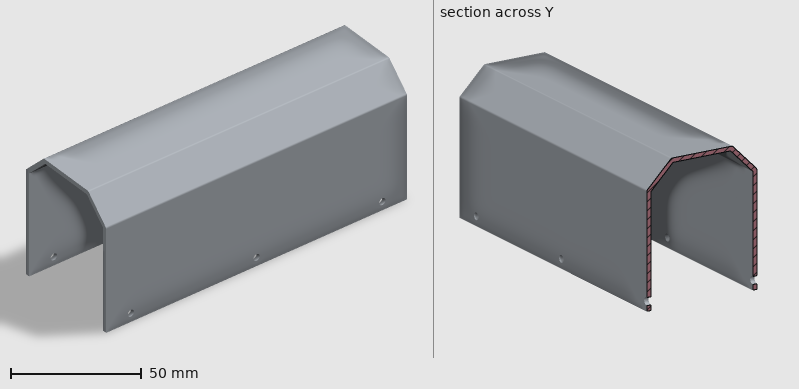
import cadquery as cq
import math

WIDTH = 50.0
LENGTH = 146.0
HEIGHT = 60.0
THICKNESS = 2.0
INNER_SETBACK = 10.0
BEND_RADIUS = 1.0

HOLE_DIAMETER = 3.1
HOLE_HEIGHT = 4.0
HOLE_END_DISTANCE = 12.0
HOLE_COUNT = 3


def bevelled_block(width, height, setback):
    """Solid bar standing on Z = 0 whose two upper long edges are bevelled."""
    bar = cq.Workplane("XY").box(width, LENGTH, height, centered=(True, True, False))
    return bar.edges("|Y and >Z").chamfer(setback)


def outer_body():
    """Outer envelope with its four bend edges rounded."""
    outer_setback = INNER_SETBACK + THICKNESS * (2 - math.sqrt(2))
    body = bevelled_block(WIDTH, HEIGHT, outer_setback)
    return body.edges("|Y").edges("not <Z").fillet(BEND_RADIUS)


def inner_space():
    """Space under the sheet, leaving walls of equal thickness all round."""
    return bevelled_block(WIDTH - 2 * THICKNESS, HEIGHT - THICKNESS, INNER_SETBACK)


def side_holes():
    """Row of cutting cylinders along X that pierce both side walls."""
    pitch = (LENGTH - 2 * HOLE_END_DISTANCE) / (HOLE_COUNT - 1)
    return (
        cq.Workplane("YZ")
        .center(0, HOLE_HEIGHT)
        .rarray(pitch, 1, HOLE_COUNT, 1)
        .circle(HOLE_DIAMETER / 2)
        .extrude(WIDTH / 2, both=True)
    )


result = outer_body().cut(inner_space()).cut(side_holes())